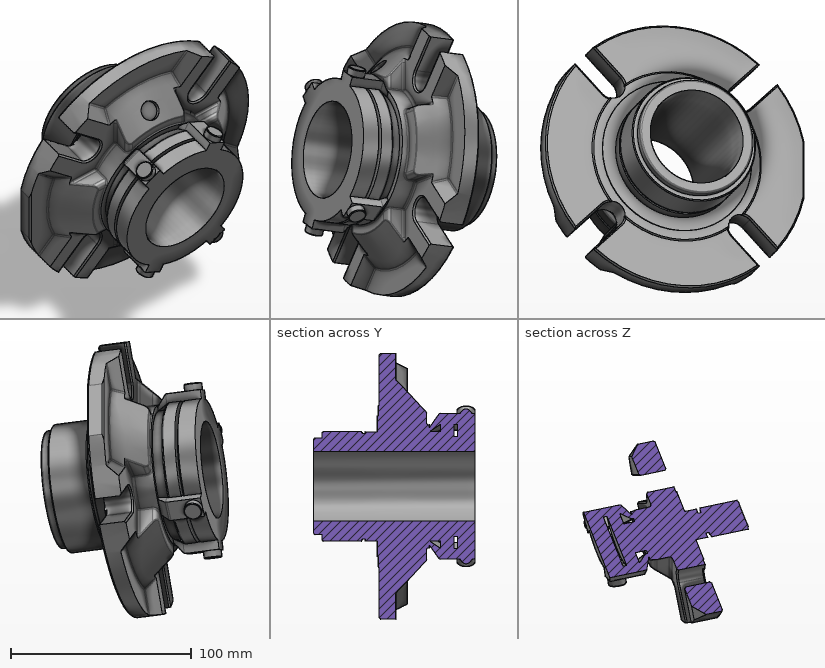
import cadquery as cq
import math


bore_diameter = 54.0
nose_diameter = 65.9
sleeve_diameter = 71.8
groove_diameter = 69.8
shoulder_diameter = 71.7
sleeve_start = 4.7
sleeve_end = 27.1
groove_end = 28.6
nose_fillet = 0.9
sleeve_chamfer = 0.6

register_diameter = 86.7
register_start = 35.3
register_rim_diameter = 96.8
register_rim_start = 35.8
register_flare_diameter = 98.5

flange_diameter = 152.2
flange_start = 36.2
flange_back = 45.6
flat_offset = 74.2
edge_chamfer = 0.9
tolerance = 0.02
slot_angles = (45, 135, 225, 315)
gap_angles = (0, 90, 180, 270)

slot_width = 14.8
slot_center_radius = 53.1
pad_face = 52.0
pad_width = 36.5
gap_root_fillet = 1.5
gap_clearance = 3.0

hub_diameter = 78.2
hub_end = 64.2
hub_root_fillet = 1.5
cone_pad_radius = 55.8
wedge_width = 40.2
wedge_end = 63.6
short_wedge_end = 60.1
wedge_corner_radius = 3.2
wedge_edge_fillet = 0.8
wedge_root_fillet = 0.9

port_diameter = 11.0
port_station = 57.0
port_depth = 3.2

neck_diameter = 71.8
collar_diameter = 79.7
collar_gap_diameter = 67.4
collar_start = 70.3
collar_gap_start = 77.9
collar_gap_end = 79.7
collar_fillet = 0.9
total_length = 89.5

clip_angles = (30, 150, 210, 330)
clip_top_radius = 44.6
clip_underside_radius = 40.2
clip_width = 11.5
clip_bend = 69.7
clip_bend_fillet = 1.5
clip_tip_radius = 37.9
clip_tip_underside = 35.6
clip_tip_width = 9.7
collar_overlap = 0.8
screw_diameter = 10.0
screw_top_radius = 48.7
screw_chamfer = 0.5


def turned(start, end, diameter):
    """Solid cylinder on the X axis between two stations."""
    return cq.Workplane("YZ").workplane(offset=start).circle(diameter / 2).extrude(end - start)


def around_axis(solid, angle):
    """Turn a solid built on the +Z side around the X axis."""
    return solid.rotate((0, 0, 0), (1, 0, 0), angle)


def make_sleeve():
    nose = turned(0, sleeve_start, nose_diameter).faces("<X").edges().fillet(nose_fillet)
    body = turned(sleeve_start, sleeve_end, sleeve_diameter).faces("<X or >X").chamfer(sleeve_chamfer)
    groove = turned(sleeve_end, groove_end, groove_diameter)
    shoulder = turned(groove_end, flange_start, shoulder_diameter)
    return nose.union(body).union(groove).union(shoulder)


def cone_radius(station):
    return cone_pad_radius + pad_face - station


def make_cone(end):
    """45 degree cone from the back of the flange plate to the given station."""
    profile = [
        (flange_start, 0),
        (flange_start, cone_radius(flange_back)),
        (flange_back, cone_radius(flange_back)),
        (end, cone_radius(end)),
        (end, 0),
    ]
    return cq.Workplane("XY").polyline(profile).close().revolve(360, (0, 0, 0), (1, 0, 0))


def make_gap():
    """Recess on the +Z side between two bolt pads, with 45 degree flanks and rounded roots."""
    top = pad_face + gap_clearance
    apex_at_back = math.sqrt(2) * (pad_width / 2 + pad_face - flange_back)
    apex_at_top = math.sqrt(2) * (pad_width / 2 + pad_face - top)
    reach = 0.8 * flange_diameter
    recess = (
        cq.Workplane("YZ")
        .workplane(offset=flange_back)
        .polyline([(0, apex_at_back), (reach, apex_at_back + reach), (-reach, apex_at_back + reach)])
        .close()
        .workplane(offset=top - flange_back)
        .polyline([(0, apex_at_top), (reach, apex_at_top + reach), (-reach, apex_at_top + reach)])
        .close()
        .loft(ruled=True)
        .cut(make_cone(top))
    )
    root_edges = recess.faces("%CONE or <X").edges("not (>X or >Z)")
    return root_edges.fillet(gap_root_fillet)


def slot_prism(start, width):
    """Round-ended channel that opens outward along +Z."""
    depth = total_length - start
    end = cq.Workplane("YZ").workplane(offset=start).center(0, slot_center_radius)
    end = end.circle(width / 2).extrude(depth)
    mouth = cq.Workplane("XY").box(depth, width, flange_diameter, centered=(False, True, False))
    return end.union(mouth.translate((start, 0, slot_center_radius)))


def make_slot():
    """Bolt slot through the whole flange with a chamfer at the pad face."""
    flare = slot_prism(pad_face - edge_chamfer, slot_width + 2 * edge_chamfer)
    flare = flare.faces("<X").chamfer(edge_chamfer)
    return slot_prism(0, slot_width).union(flare)


def make_flange():
    plate = turned(flange_start, pad_face, flange_diameter)
    for angle in gap_angles:
        plate = plate.cut(around_axis(make_gap(), angle))
    flat_cut = cq.Workplane("XY").box(
        total_length, flange_diameter, flange_diameter, centered=(False, False, True)
    ).translate((0, -flat_offset - flange_diameter, 0))
    plate = plate.cut(flat_cut)
    for angle in slot_angles:
        plate = plate.cut(around_axis(make_slot(), angle))
    plate = plate.faces("<X").chamfer(edge_chamfer)
    return plate.edges("|Z and <Y").edges(">X").chamfer(edge_chamfer)


def make_register():
    register = turned(register_start, flange_back, register_diameter)
    rim = turned(register_rim_start, flange_back, register_rim_diameter)
    flare_height = flange_start - register_rim_start
    flare = cq.Workplane(cq.Solid.makeCone(
        register_rim_diameter / 2, register_flare_diameter / 2, flare_height,
        cq.Vector(register_rim_start, 0, 0), cq.Vector(1, 0, 0),
    ))
    register = register.union(rim).union(flare)
    for angle in slot_angles:
        register = register.cut(around_axis(make_slot(), angle))
    return register


def make_wedge(end):
    block = cq.Workplane("XY").box(
        end - flange_start, wedge_width, flange_diameter / 2, centered=(False, True, False)
    ).translate((flange_start, 0, 0))
    block = block.edges("|Z and >X").fillet(wedge_corner_radius)
    wedge = block.intersect(make_cone(end))
    return wedge.faces("%CONE").edges("(not <X) and (not >X)").fillet(wedge_edge_fillet)


def is_wedge_root(edge):
    """True for an edge where a wedge meets the round hub behind the pad face."""
    points = (edge.startPoint(), edge.positionAt(0.5), edge.endPoint())
    on_hub = all(abs(math.hypot(p.y, p.z) - hub_diameter / 2) < tolerance for p in points)
    middle_station = edge.Center().x
    return on_hub and flange_back + tolerance < middle_station < hub_end - tolerance


def is_hub_foot(edge):
    """True for an edge where the hub or a wedge side stands on the pad face."""
    box = edge.BoundingBox()
    on_pad_face = abs(box.xmin - pad_face) < tolerance and abs(box.xmax - pad_face) < tolerance
    reach = hub_diameter / 2 + wedge_root_fillet
    ends = (edge.startPoint(), edge.endPoint())
    return on_pad_face and any(math.hypot(p.y, p.z) < reach for p in ends)


def make_hub():
    hub = turned(flange_back, hub_end, hub_diameter)
    for angle in (0, 90, 180):
        hub = hub.union(around_axis(make_wedge(wedge_end), angle))
    hub = hub.union(around_axis(make_wedge(short_wedge_end), -90))
    return hub.newObject(filter(is_wedge_root, hub.edges().vals())).fillet(wedge_root_fillet)


def make_port():
    """Blind hole square to the cone of the upper wedge."""
    mouth = cq.Plane(
        origin=(port_station, 0, cone_radius(port_station)), xDir=(0, 1, 0), normal=(1, 0, 1)
    )
    return cq.Workplane(mouth).circle(port_diameter / 2).extrude(port_depth, both=True)


def make_collars():
    neck = turned(hub_end, collar_start, neck_diameter)
    inner_collar = turned(collar_start, collar_gap_start, collar_diameter)
    inner_collar = inner_collar.faces("<X").edges().fillet(collar_fillet)
    gap = turned(collar_gap_start, collar_gap_end, collar_gap_diameter)
    outer_collar = turned(collar_gap_end, total_length, collar_diameter)
    return neck.union(inner_collar).union(gap).union(outer_collar)


def make_clip():
    """Clip on the +Z side with a tapered toe bent down against the end of the hub."""
    floor = collar_diameter / 2 - collar_overlap
    side = [
        (hub_end, clip_tip_underside),
        (hub_end, clip_tip_radius),
        (clip_bend, clip_top_radius),
        (total_length, clip_top_radius),
        (total_length, floor),
        (collar_start, floor),
    ]
    plan = [
        (hub_end, -clip_tip_width / 2),
        (clip_bend, -clip_width / 2),
        (total_length, -clip_width / 2),
        (total_length, clip_width / 2),
        (clip_bend, clip_width / 2),
        (hub_end, clip_tip_width / 2),
    ]
    body = cq.Workplane("XZ").polyline(side).close().extrude(clip_width, both=True)
    bend = cq.selectors.NearestToPointSelector((clip_bend, 0, clip_top_radius))
    body = body.edges("|Y").edges(bend).fillet(clip_bend_fillet)
    body = body.intersect(cq.Workplane("XY").polyline(plan).close().extrude(flange_diameter))
    screw = (
        cq.Workplane("XY")
        .workplane(offset=clip_underside_radius)
        .center(total_length - screw_diameter / 2, 0)
        .circle(screw_diameter / 2)
        .extrude(screw_top_radius - clip_underside_radius)
        .faces(">Z")
        .chamfer(screw_chamfer)
    )
    return body.union(screw)


flanged_hub = make_flange().union(make_hub())
hub_feet = filter(is_hub_foot, flanged_hub.edges().vals())
flanged_hub = flanged_hub.newObject(hub_feet).fillet(hub_root_fillet)

result = flanged_hub.cut(make_port()).union(make_register())
result = result.union(make_sleeve()).union(make_collars())
for angle in clip_angles:
    result = result.union(around_axis(make_clip(), angle))
result = result.cut(turned(0, total_length, bore_diameter))